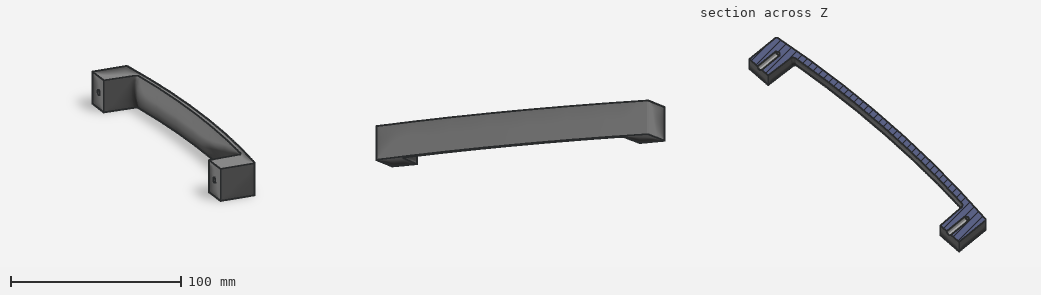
import cadquery as cq
import math

length = 177.6
depth = 28.36
height = 20.2

end_depth = 22.4
end_corner_radius = 1.0

leg_width_at_foot = 16.1
leg_width_at_grip = 16.8
leg_fillet_radius = 2.0

grip_thickness = 4.7
crown_radius = 32.0

hole_spacing = 160.0
hole_diameter = 3.3
hole_depth = 15.0
drill_tip_angle = 118.0

half_length = length / 2
bow_rise = depth - end_depth
bow_radius = (half_length**2 + bow_rise**2) / (2 * bow_rise)
bow_center_y = depth - bow_radius
cavity_margin = 1.0


def make_blank():
    """Solid bow-fronted bar, before the space behind the grip is removed."""
    outline = (
        cq.Workplane("XY")
        .workplane(offset=-height / 2)
        .moveTo(-half_length, 0)
        .lineTo(half_length, 0)
        .lineTo(half_length, end_depth)
        .threePointArc((0, depth), (-half_length, end_depth))
        .close()
    )
    blank = outline.extrude(height)
    return blank.edges("|Z").edges(">Y").fillet(end_corner_radius)


def make_crown_body():
    """Body of revolution about the bow axis whose rim is the crowned back of the grip."""
    half_height = height / 2 + cavity_margin
    half_angle = math.asin(half_height / crown_radius)
    crest_y = depth - grip_thickness
    crown_center_y = crest_y + crown_radius

    def crown_point(angle):
        return (crown_center_y - crown_radius * math.cos(angle), crown_radius * math.sin(angle))

    section = (
        cq.Workplane("YZ")
        .moveTo(bow_center_y, -half_height)
        .lineTo(*crown_point(-half_angle))
        .threePointArc(crown_point(0), crown_point(half_angle))
        .lineTo(bow_center_y, half_height)
        .close()
    )
    return section.revolve(360, (bow_center_y, 0), (bow_center_y, 1))


def make_cavity():
    """Space between the tapered legs, rounded where they meet the grip."""
    half_gap_at_foot = half_length - leg_width_at_foot
    half_gap_at_grip = half_length - leg_width_at_grip
    taper = (half_gap_at_foot - half_gap_at_grip) / end_depth
    front_y = depth + cavity_margin
    back_y = -cavity_margin
    half_gap_front = half_gap_at_foot - taper * front_y
    half_gap_back = half_gap_at_foot - taper * back_y
    prism = (
        cq.Workplane("XY")
        .workplane(offset=-height / 2 - cavity_margin)
        .polyline(
            [
                (-half_gap_back, back_y),
                (half_gap_back, back_y),
                (half_gap_front, front_y),
                (-half_gap_front, front_y),
            ]
        )
        .close()
        .extrude(height + 2 * cavity_margin)
    )
    cavity = prism.intersect(make_crown_body())
    return cavity.edges("%BSPLINE").fillet(leg_fillet_radius)


def make_hole(x):
    """Blind drilled hole with a conical tip, entering the foot along +Y."""
    radius = hole_diameter / 2
    tip_length = radius / math.tan(math.radians(drill_tip_angle / 2))
    profile = (
        cq.Workplane("XY")
        .polyline([(x, 0), (x + radius, 0), (x + radius, hole_depth), (x, hole_depth + tip_length)])
        .close()
    )
    return profile.revolve(360, (x, 0), (x, 1))


result = make_blank().cut(make_cavity())
for side in (-1, 1):
    result = result.cut(make_hole(side * hole_spacing / 2))